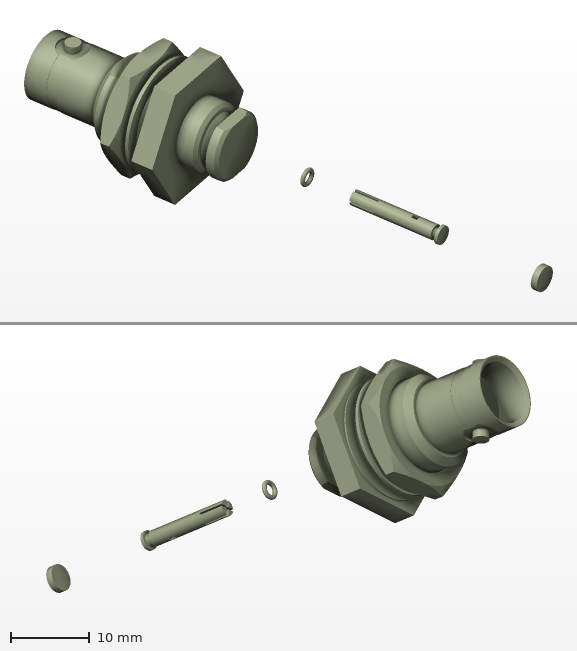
import cadquery as cq
import math


BARREL_R = 4.8
THREAD_R = 6.2
THREAD_START = 11.0
THREAD_CHAMFER = 0.9
THREAD_FLAT_Z = 5.5
COLLAR_START = 20.2
FLANGE_START = 20.4
FLANGE_END = 23.7
FLANGE_ACROSS_FLATS = 17.5
REAR_BARREL_END = 26.7
REAR_CHAMFER = 0.5
NECK_SHOULDER_R = 3.7
NECK_CONE_LENGTH = 0.5
NECK_R = 3.4
RIM_START = 28.25
HOUSING_END = 29.95
RIM_CHAMFER = 0.5
RIM_HALF_FLATS = 4.1

BORE_R = 4.1
BORE_DEPTH = 4.8
MOUTH_R = 4.65
MOUTH_CONE_LENGTH = 0.5
LUG_X = 4.2
LUG_R = 1.1
LUG_TOP_Z = 5.5
SPOT_FACE_R = 2.25
SPOT_FACE_Z = 4.4
BAND_WIDTH = 1.6
BAND_DEPTH = 0.06

INSULATOR_R = 2.3

NUT_START = 14.3
NUT_THICKNESS = 2.8
BEARING_R = 8.1
NUT_CHAMFER_ANGLE = 30
NUT_COUNTERSINK = 0.2
WASHER_START = 18.0
WASHER_THICKNESS = 0.5

RING_CENTRE_X = 40.65
RING_R = 1.3
RING_SECTION_R = 0.3
PIN_START = 47.95
PIN_R = 1.1
PIN_SHANK_END = 60.6
PIN_NECK_R = 0.7
PIN_FLARE_R = 0.9
PIN_HEAD_START = 61.3
PIN_HEAD_R = 1.3
PIN_END = 61.8
PIN_SLOT_WIDTH = 0.3
PIN_SLOT_LENGTH = 3.8
WINDOW_X = 57.5
WINDOW_LENGTH = 0.9
WINDOW_WIDTH = 0.7
CAP_R = 1.8
CAP_THICKNESS = 0.9
CAP_END = 77.6


def revolve(outline):
    """Solid of revolution about X from (x, radius) points that start and end on the axis."""
    return cq.Workplane("XY").polyline(outline).close().revolve(360, (0, 0, 0), (1, 0, 0))


def rod(start, end, radius):
    return cq.Workplane("YZ", origin=(start, 0, 0)).circle(radius).extrude(end - start)


def hex_prism(start, end, across_flats):
    """Hexagonal prism along X with two flats facing +Z and -Z."""
    across_corners = across_flats / math.cos(math.radians(30))
    return cq.Workplane("YZ", origin=(start, 0, 0)).polygon(6, across_corners).extrude(end - start)


def slab_above(start, end, height, depth=THREAD_R):
    """Block lying above a given Z, for cutting a flat along a length of the housing."""
    block = cq.Workplane("XY").box(end - start, 4 * THREAD_R, depth, centered=(False, True, False))
    return block.translate((start, 0, height))


def mirrored_below(shape):
    return shape.rotate((0, 0, 0), (1, 0, 0), 180)


def make_front_barrel():
    barrel = rod(0, THREAD_START, BARREL_R)
    band_start = LUG_X - BAND_WIDTH / 2
    band_end = LUG_X + BAND_WIDTH / 2
    band = rod(band_start, band_end, THREAD_R).cut(rod(band_start, band_end, BARREL_R - BAND_DEPTH))
    barrel = barrel.cut(band)

    spot_plane = cq.Workplane("XY", origin=(LUG_X, 0, SPOT_FACE_Z))
    spot_face = spot_plane.circle(SPOT_FACE_R).extrude(LUG_TOP_Z - SPOT_FACE_Z)
    lug = cq.Workplane("XY", origin=(LUG_X, 0, BORE_R)).circle(LUG_R).extrude(LUG_TOP_Z - BORE_R)
    barrel = barrel.cut(spot_face).cut(mirrored_below(spot_face))
    return barrel.union(lug).union(mirrored_below(lug))


def make_threaded_section():
    section = revolve([
        (THREAD_START, 0),
        (THREAD_START, THREAD_R - THREAD_CHAMFER),
        (THREAD_START + THREAD_CHAMFER, THREAD_R),
        (FLANGE_START, THREAD_R),
        (FLANGE_START, 0),
    ])
    return section.cut(slab_above(THREAD_START, FLANGE_START, THREAD_FLAT_Z))


def make_flange():
    collar = rod(COLLAR_START, FLANGE_START, BEARING_R)
    return hex_prism(FLANGE_START, FLANGE_END, FLANGE_ACROSS_FLATS).union(collar)


def make_rear_end():
    rear = revolve([
        (FLANGE_END, 0),
        (FLANGE_END, BARREL_R),
        (REAR_BARREL_END - REAR_CHAMFER, BARREL_R),
        (REAR_BARREL_END, BARREL_R - REAR_CHAMFER),
        (REAR_BARREL_END, NECK_SHOULDER_R),
        (REAR_BARREL_END + NECK_CONE_LENGTH, NECK_R),
        (RIM_START, NECK_R),
        (RIM_START, BARREL_R),
        (HOUSING_END - RIM_CHAMFER, BARREL_R),
        (HOUSING_END, BARREL_R - RIM_CHAMFER),
        (HOUSING_END, 0),
    ])
    rim_flat = slab_above(RIM_START, HOUSING_END, RIM_HALF_FLATS)
    return rear.cut(rim_flat).cut(mirrored_below(rim_flat))


def make_insulator():
    return rod(BORE_DEPTH, HOUSING_END, INSULATOR_R)


def make_housing():
    body = make_front_barrel().union(make_threaded_section()).union(make_flange()).union(make_rear_end())
    socket = revolve([
        (0, 0),
        (0, MOUTH_R),
        (MOUTH_CONE_LENGTH, BORE_R),
        (BORE_DEPTH, BORE_R),
        (BORE_DEPTH, 0),
    ])
    return body.cut(socket).cut(make_insulator())


def make_nut():
    end = NUT_START + NUT_THICKNESS
    corner_r = BEARING_R / math.cos(math.radians(30))
    corner_drop = (corner_r - BEARING_R) * math.tan(math.radians(NUT_CHAMFER_ANGLE))
    chamfer_envelope = revolve([
        (NUT_START, 0),
        (NUT_START, BEARING_R),
        (NUT_START + corner_drop, corner_r),
        (end - corner_drop, corner_r),
        (end, BEARING_R),
        (end, 0),
    ])
    threaded_hole = revolve([
        (NUT_START, 0),
        (NUT_START, THREAD_R + NUT_COUNTERSINK),
        (NUT_START + NUT_COUNTERSINK, THREAD_R),
        (end - NUT_COUNTERSINK, THREAD_R),
        (end, THREAD_R + NUT_COUNTERSINK),
        (end, 0),
    ])
    return hex_prism(NUT_START, end, 2 * BEARING_R).intersect(chamfer_envelope).cut(threaded_hole)


def make_washer():
    end = WASHER_START + WASHER_THICKNESS
    return rod(WASHER_START, end, BEARING_R).cut(rod(WASHER_START, end, THREAD_R))


def make_ring():
    section = cq.Workplane("XY").center(RING_CENTRE_X, RING_R - RING_SECTION_R).circle(RING_SECTION_R)
    axis_y = RING_SECTION_R - RING_R
    return section.revolve(360, (0, axis_y, 0), (1, axis_y, 0))


def make_pin():
    pin = revolve([
        (PIN_START, 0),
        (PIN_START, PIN_R),
        (PIN_SHANK_END, PIN_R),
        (PIN_SHANK_END, PIN_NECK_R),
        (PIN_HEAD_START, PIN_FLARE_R),
        (PIN_HEAD_START, PIN_HEAD_R),
        (PIN_END, PIN_HEAD_R),
        (PIN_END, 0),
    ])
    slot = cq.Workplane("XY").box(PIN_SLOT_LENGTH, PIN_SLOT_WIDTH, 2 * PIN_R, centered=(False, True, True))
    slot = slot.translate((PIN_START, 0, 0))
    crossing_slot = slot.rotate((0, 0, 0), (1, 0, 0), 90)
    window = cq.Workplane("XY").box(WINDOW_LENGTH, WINDOW_WIDTH, 2 * PIN_R).translate((WINDOW_X, 0, 0))
    return pin.cut(slot).cut(crossing_slot).cut(window)


def make_cap():
    return rod(CAP_END - CAP_THICKNESS, CAP_END, CAP_R)


housing = make_housing()
insulator = make_insulator()
nut = make_nut()
washer = make_washer()
ring = make_ring()
pin = make_pin()
cap = make_cap()

result = cq.Compound.makeCompound([
    housing.val(),
    insulator.val(),
    nut.val(),
    washer.val(),
    ring.val(),
    pin.val(),
    cap.val(),
])